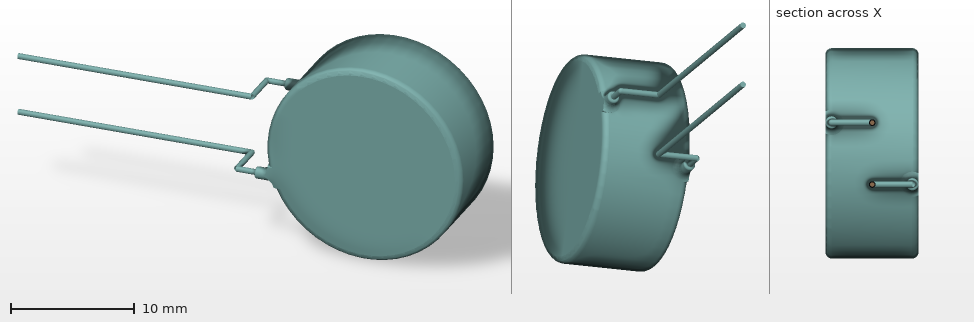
import cadquery as cq
import math

BODY_DIAMETER = 17.0
BODY_THICKNESS = 7.5
RIM_FILLET = 0.5

SLEEVE_DIAMETER = 1.0
SLEEVE_END_FILLET = 0.15
SLEEVE_START_X = -9.5
FLARE_RADIUS = 0.5

WIRE_DIAMETER = 0.5
LEAD_SPACING = 5.0
CRANK_X = -11.2
OVERALL_LENGTH = 40.0

body_radius = BODY_DIAMETER / 2
lead_tip_x = body_radius - OVERALL_LENGTH
sleeve_offset_y = (BODY_THICKNESS - SLEEVE_DIAMETER) / 2


def disc(thickness):
    """Plain disc with its axis along Y."""
    return cq.Workplane("XZ", origin=(0, thickness / 2, 0)).circle(body_radius).extrude(thickness)


def rod_along_x(diameter, start_x, end_x, y, z):
    section = cq.Workplane("YZ", origin=(start_x, y, z)).circle(diameter / 2)
    return section.extrude(end_x - start_x)


def flared_sleeve(y, z):
    """Sleeve with a rounded mouth and a concave flare where it meets the body."""
    sleeve = rod_along_x(SLEEVE_DIAMETER, SLEEVE_START_X, 0, y, z)
    sleeve = sleeve.faces("<X").edges().fillet(SLEEVE_END_FILLET)
    joined = disc(2 * BODY_THICKNESS).union(sleeve)
    root = cq.selectors.BoxSelector(
        (SLEEVE_START_X + 2 * SLEEVE_END_FILLET, y - SLEEVE_DIAMETER, z - SLEEVE_DIAMETER),
        (-body_radius / 2, y + SLEEVE_DIAMETER, z + SLEEVE_DIAMETER),
        boundingbox=True,
    )
    joined = joined.edges(root).edges("not %LINE").fillet(FLARE_RADIUS)
    flare_reach = SLEEVE_DIAMETER / 2 + FLARE_RADIUS
    flat_face_radius = body_radius - RIM_FILLET
    root_end_x = -math.sqrt(flat_face_radius**2 - (abs(z) + flare_reach) ** 2)
    footprint = rod_along_x(2 * flare_reach, SLEEVE_START_X, root_end_x, y, z)
    slab = cq.Workplane("XY").box(2 * BODY_DIAMETER, BODY_THICKNESS, BODY_DIAMETER)
    return joined.intersect(footprint).intersect(slab)


def cranked_lead(y, z):
    """Wire leaving the sleeve at offset y, stepping to mid-thickness and running to the tip."""
    path = cq.Workplane("XY", origin=(0, 0, z)).polyline(
        [(-body_radius / 2, y), (CRANK_X, y), (CRANK_X, 0), (lead_tip_x, 0)]
    )
    section = cq.Workplane("YZ", origin=(-body_radius / 2, y, z)).circle(WIRE_DIAMETER / 2)
    return section.sweep(path, transition="round")


result = disc(BODY_THICKNESS).edges().fillet(RIM_FILLET)
for side in (1, -1):
    lead_y = side * sleeve_offset_y
    lead_z = side * LEAD_SPACING / 2
    result = result.union(flared_sleeve(lead_y, lead_z))
    result = result.union(cranked_lead(lead_y, lead_z))